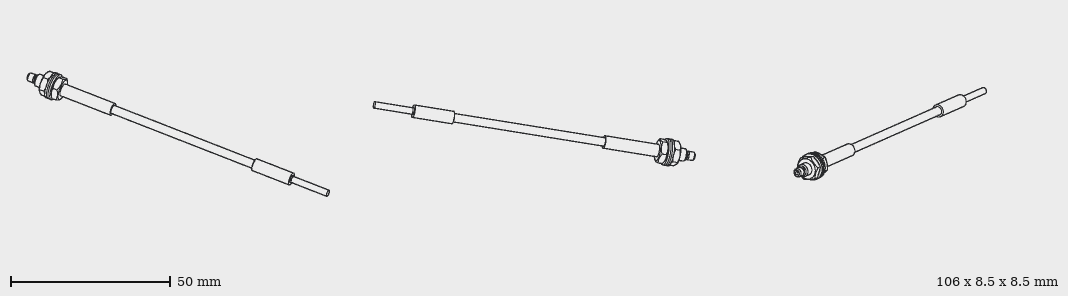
import cadquery as cq
import math

LENGTH = 106.0
THREAD_D = 4.0
JACKET_D = 2.8
CORE_D = 2.1
FIBRE_D = 1.0

TIP_D = 2.8
TIP_END = 2.5
TIP_CHAMFER = 0.4
NECK_D = 2.1
SHANK_START = 2.9
SHANK_CHAMFER = 0.4
SLEEVE_END = 29.9

HEX_HALF_ANGLE = 30.0
NUT_FLATS = 7.0
NUT_THICKNESS = 2.4
NUT_FACE_D = 6.6
NUT_CHAMFER_ANGLE = 35.0
FRONT_NUT_START = 5.5
FRONT_NUT_TURN = 47.7
REAR_NUT_START = 9.8
REAR_NUT_TURN = FRONT_NUT_TURN - HEX_HALF_ANGLE

WASHER_D = 8.5
FLAT_WASHER_START = FRONT_NUT_START + NUT_THICKNESS
FLAT_WASHER_THICKNESS = 0.6
LOCK_WASHER_THICKNESS = 0.6
LOCK_WASHER_START = REAR_NUT_START - LOCK_WASHER_THICKNESS

JACKET_START = 21.2
FERRULE_START = 80.0
FERRULE_LENGTH = 13.0
FERRULE_D = 4.0
FERRULE_END = FERRULE_START + FERRULE_LENGTH
NOSE_D = 2.3
NOSE_LENGTH = 0.4
END_WALL = 1.1
JACKET_END = FERRULE_END - END_WALL


def cylinder(start, end, diameter):
    return cq.Workplane("YZ").workplane(offset=start).circle(diameter / 2).extrude(end - start)


def make_cable():
    fibre = cylinder(0, JACKET_START, FIBRE_D)
    jacket = cylinder(JACKET_START, JACKET_END, JACKET_D)
    core = cylinder(JACKET_END, LENGTH, CORE_D)
    return fibre.union(jacket).union(core)


def make_sleeve(cable):
    tip = cylinder(0, TIP_END, TIP_D).edges().chamfer(TIP_CHAMFER)
    neck = cylinder(TIP_END - TIP_CHAMFER, SHANK_START, NECK_D)
    shank = cylinder(SHANK_START, SLEEVE_END, THREAD_D).faces("<X").chamfer(SHANK_CHAMFER)
    return shank.union(neck).union(tip).cut(cable)


def make_ferrule(cable):
    barrel = cylinder(FERRULE_START, FERRULE_END, FERRULE_D)
    nose = cylinder(FERRULE_END, FERRULE_END + NOSE_LENGTH, NOSE_D)
    return barrel.union(nose).cut(cable)


def make_washer(start, thickness):
    end = start + thickness
    return cylinder(start, end, WASHER_D).cut(cylinder(start, end, THREAD_D))


def make_nut(start, turn):
    """Hexagon nut with its corners cut back by a cone at both faces."""
    end = start + NUT_THICKNESS
    corner_radius = NUT_FLATS / 2 / math.cos(math.radians(HEX_HALF_ANGLE))
    face_radius = NUT_FACE_D / 2
    depth = (corner_radius - face_radius) * math.tan(math.radians(NUT_CHAMFER_ANGLE))
    hexagon = (
        cq.Workplane("YZ")
        .workplane(offset=start)
        .polygon(6, 2 * corner_radius)
        .extrude(NUT_THICKNESS)
        .rotate((0, 0, 0), (1, 0, 0), turn)
    )
    envelope = (
        cq.Workplane("XY")
        .moveTo(start, 0)
        .lineTo(start, face_radius)
        .lineTo(start + depth, corner_radius)
        .lineTo(end - depth, corner_radius)
        .lineTo(end, face_radius)
        .lineTo(end, 0)
        .close()
        .revolve(360, (0, 0, 0), (1, 0, 0))
    )
    return hexagon.intersect(envelope).cut(cylinder(start, end, THREAD_D))


cable = make_cable()
sleeve = make_sleeve(cable)
ferrule = make_ferrule(cable)
flat_washer = make_washer(FLAT_WASHER_START, FLAT_WASHER_THICKNESS)
lock_washer = make_washer(LOCK_WASHER_START, LOCK_WASHER_THICKNESS)
nuts = [
    make_nut(start, turn)
    for start, turn in ((FRONT_NUT_START, FRONT_NUT_TURN), (REAR_NUT_START, REAR_NUT_TURN))
]

result = cq.Compound.makeCompound([
    sleeve.val(),
    flat_washer.val(),
    lock_washer.val(),
    *[nut.val() for nut in nuts],
    cable.val(),
    ferrule.val(),
])